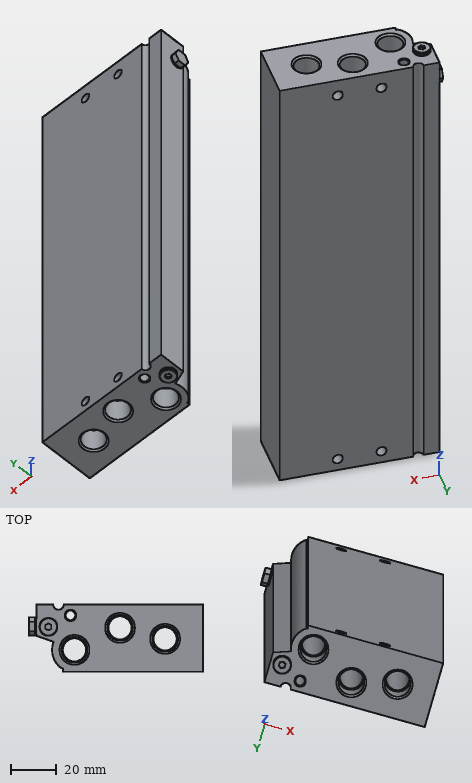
import cadquery as cq
import math

block_width = 73.0
block_depth = 29.5
block_height = 215.0
half_height = block_height / 2

port_places = [(16.7, 9.6), (36.6, 19.3), (56.4, 14.5)]
port_bore_diameter = 10.0
port_thread_diameter = 11.5
port_mouth_diameter = 13.2
port_thread_depth = 13.2

passage_place = (15.0, 24.8)
passage_diameter = 4.2
passage_mouth_diameter = 5.0

corner_radius = 9.9
ledge_y = 1.5
front_face_start_x = 11.6
side_face_front_y = 15.8
slope_end_y = 13.2

groove_x = 9.6
groove_diameter = 4.5

mount_diameter = 4.5
mount_first_x = 26.5
mount_pitch_x = 20.0
mount_top_inset = 8.3
mount_bottom_inset = 6.1

collar_height = 0.7
end_plug_x = 5.3
end_plug_y = 19.7
end_plug_height = 2.2
end_plug_diameter = 8.0
end_plug_chamfer = 0.2
end_collar_diameter = 7.0
socket_corner_diameter = 3.0
socket_depth = end_plug_height / 2
side_plug_y = 20.0
side_plug_inset = 13.4
side_plug_height = 3.3
side_plug_flats = 7.0
side_plug_corner_diameter = side_plug_flats / math.cos(math.pi / 6)


def rounded_corner_x(y):
    """X of the rounded corner, on its side away from the ports, at the given Y."""
    centre_x, centre_y = port_places[0]
    return centre_x - math.sqrt(corner_radius**2 - (y - centre_y) ** 2)


def make_blank():
    """Block without holes: its cross-section extruded over the full height."""
    corner_y = port_places[0][1]
    return (
        cq.Workplane("XY", origin=(0, 0, -half_height))
        .moveTo(front_face_start_x, 0)
        .lineTo(block_width, 0)
        .lineTo(block_width, block_depth)
        .lineTo(0, block_depth)
        .lineTo(0, side_face_front_y)
        .lineTo(rounded_corner_x(slope_end_y), slope_end_y)
        .threePointArc((rounded_corner_x(corner_y), corner_y), (rounded_corner_x(ledge_y), ledge_y))
        .lineTo(front_face_start_x, ledge_y)
        .close()
        .extrude(block_height)
    )


def countersink(hole_radius, mouth_radius):
    """Half-outline points (radius, Z) of a 45 degree countersink on the upper face."""
    return [(hole_radius, half_height - (mouth_radius - hole_radius)), (mouth_radius, half_height)]


def make_round_hole(place, upper_points):
    """Cutter along Z, alike at both ends; upper_points are (radius, Z) up to the upper face."""
    lower_points = [(radius, -z) for radius, z in reversed(upper_points)]
    return (
        cq.Workplane("XZ")
        .polyline([(0, -half_height), *lower_points, *upper_points, (0, half_height)])
        .close()
        .revolve(360, (0, 0), (0, 1))
        .translate((*place, 0))
    )


def make_port(place):
    """Cutter for one port: bore, threaded lengths and countersinks."""
    thread_radius = port_thread_diameter / 2
    thread_end_z = half_height - port_thread_depth
    step = [(port_bore_diameter / 2, thread_end_z), (thread_radius, thread_end_z)]
    return make_round_hole(place, step + countersink(thread_radius, port_mouth_diameter / 2))


def make_passage():
    """Cutter for the small passage with its countersinks."""
    return make_round_hole(
        passage_place, countersink(passage_diameter / 2, passage_mouth_diameter / 2)
    )


def make_groove():
    """Cutter for the groove over the full height of the back face."""
    return (
        cq.Workplane("XY", origin=(groove_x, block_depth, -half_height))
        .circle(groove_diameter / 2)
        .extrude(block_height)
    )


def make_mount_holes():
    """Cutter for the four mounting holes through the depth of the block."""
    xs = [mount_first_x, mount_first_x + mount_pitch_x]
    zs = [mount_bottom_inset - half_height, half_height - mount_top_inset]
    return (
        cq.Workplane("XZ")
        .pushPoints([(x, z) for x in xs for z in zs])
        .circle(mount_diameter / 2)
        .extrude(-block_depth)
    )


def make_block():
    block = make_blank()
    for place in port_places:
        block = block.cut(make_port(place))
    return block.cut(make_passage()).cut(make_groove()).cut(make_mount_holes())


def make_end_plug(end):
    """Round chamfered plug with a hexagon socket; end is +1 on the upper face and -1 on the lower one."""
    base = cq.Workplane("XY", origin=(end_plug_x, end_plug_y, half_height))
    collar = base.circle(end_collar_diameter / 2).extrude(collar_height)
    head = (
        base.workplane(offset=collar_height)
        .circle(end_plug_diameter / 2)
        .extrude(end_plug_height - collar_height)
        .faces(">Z")
        .chamfer(end_plug_chamfer)
    )
    socket = (
        base.workplane(offset=end_plug_height)
        .transformed(rotate=(0, 0, 90))
        .polygon(6, socket_corner_diameter)
        .extrude(-socket_depth)
    )
    plug = collar.union(head).cut(socket)
    return plug if end > 0 else plug.mirror("XY")


def make_side_plug():
    """Hexagon-headed plug on the narrow side face, on a round collar as wide as its flats."""
    base = cq.Workplane("YZ", origin=(0, side_plug_y, half_height - side_plug_inset))
    collar = base.circle(side_plug_flats / 2).extrude(-collar_height)
    head = (
        base.workplane(offset=-collar_height)
        .polygon(6, side_plug_corner_diameter)
        .extrude(collar_height - side_plug_height)
    )
    return collar.union(head)


block = make_block()
end_plugs = [make_end_plug(end) for end in (1, -1)]
side_plug = make_side_plug()

result = cq.Compound.makeCompound([
    block.val(),
    *[plug.val() for plug in end_plugs],
    side_plug.val(),
])